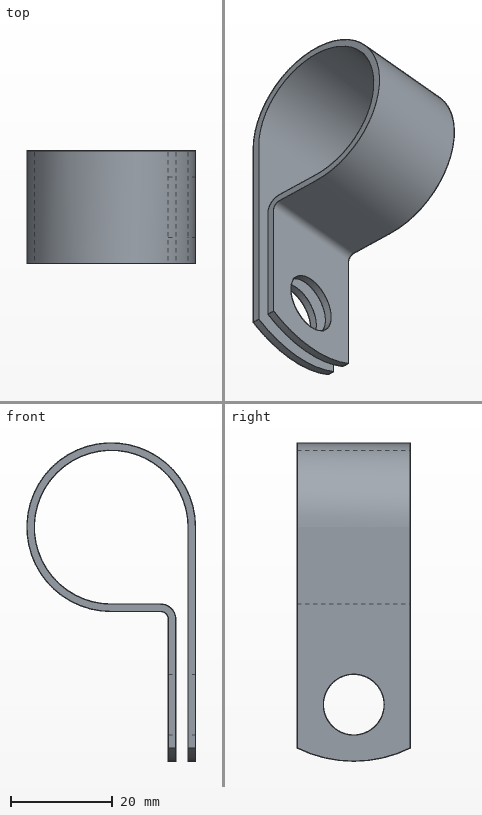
import cadquery as cq
import math

height = 62.6
width = 22.2
outer_radius = 16.6
thickness = 1.5

leg_gap = 2.4
bend_inner_radius = 1.5
hole_diameter = 11.9
hole_drop = 34.9
tip_radius = 25.0

inner_radius = outer_radius - thickness
bottom = outer_radius - height
short_leg_outer = inner_radius - leg_gap
short_leg_inner = short_leg_outer - thickness
bend_outer_radius = bend_inner_radius + thickness
bend_x = short_leg_outer - bend_outer_radius
bend_z = -inner_radius - bend_outer_radius
diagonal = math.sqrt(0.5)


def make_strip():
    """Bent strip: long leg, three-quarter loop, flat, bend and short leg."""
    return (
        cq.Workplane("XZ")
        .moveTo(outer_radius, bottom)
        .lineTo(outer_radius, 0)
        .threePointArc((-outer_radius * diagonal, outer_radius * diagonal), (0, -outer_radius))
        .lineTo(bend_x, -outer_radius)
        .threePointArc(
            (bend_x + bend_inner_radius * diagonal, bend_z + bend_inner_radius * diagonal),
            (short_leg_inner, bend_z),
        )
        .lineTo(short_leg_inner, bottom)
        .lineTo(short_leg_outer, bottom)
        .lineTo(short_leg_outer, bend_z)
        .threePointArc(
            (bend_x + bend_outer_radius * diagonal, bend_z + bend_outer_radius * diagonal),
            (bend_x, -inner_radius),
        )
        .lineTo(0, -inner_radius)
        .threePointArc((-inner_radius * diagonal, inner_radius * diagonal), (inner_radius, 0))
        .lineTo(inner_radius, bottom)
        .close()
        .extrude(width / 2, both=True)
    )


def make_side_envelope():
    """Block across the full X extent whose lower end is an arc."""
    half_width = width / 2
    corner_rise = tip_radius - math.sqrt(tip_radius**2 - half_width**2)
    return (
        cq.Workplane("YZ")
        .moveTo(-half_width, outer_radius)
        .lineTo(-half_width, bottom + corner_rise)
        .threePointArc((0, bottom), (half_width, bottom + corner_rise))
        .lineTo(half_width, outer_radius)
        .close()
        .extrude(outer_radius, both=True)
    )


def make_bolt_hole():
    """Cylinder along X that passes through both legs."""
    return (
        cq.Workplane("YZ")
        .center(0, -hole_drop)
        .circle(hole_diameter / 2)
        .extrude(outer_radius, both=True)
    )


result = make_strip().intersect(make_side_envelope()).cut(make_bolt_hole())